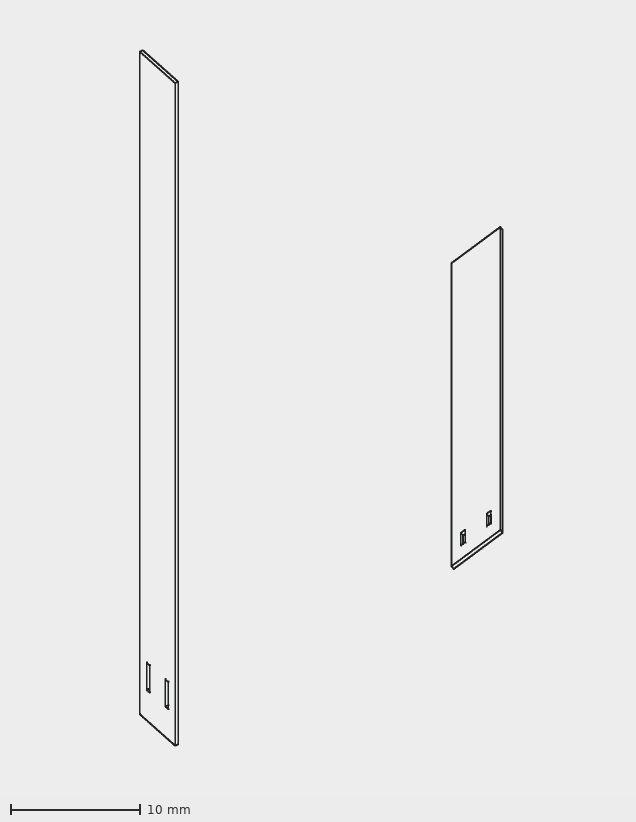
import cadquery as cq

strip_width = 4.8
strip_thickness = 0.3
strip_length = 65.0

slot_width = 0.42
slot_length = 2.65
slot_spacing = 2.55
slot_bottom_height = 3.0

strip = cq.Workplane("XY").box(
    strip_width, strip_thickness, strip_length, centered=(True, True, False)
)

slots = (
    cq.Workplane("XY")
    .workplane(offset=slot_bottom_height)
    .pushPoints([(-slot_spacing / 2, 0), (slot_spacing / 2, 0)])
    .rect(slot_width, strip_thickness)
    .extrude(slot_length)
)

result = strip.cut(slots)